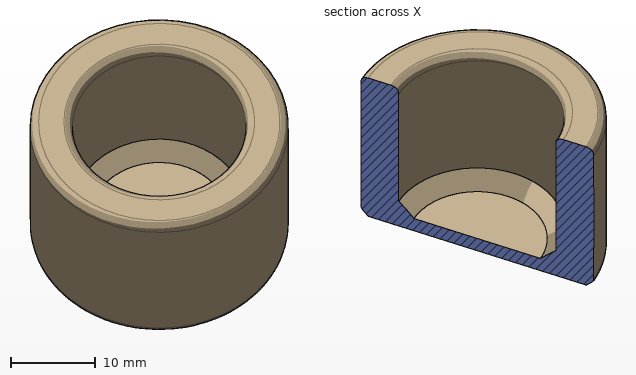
import cadquery as cq

outer_diameter = 30.5
height = 22.0
edge_radius = 1.0
base_chamfer = 1.0

bore_diameter = 20.5
floor_diameter = 16.53
floor_thickness = 2.0

outer_radius = outer_diameter / 2
bore_radius = bore_diameter / 2
floor_radius = floor_diameter / 2
cone_height = bore_radius - floor_radius

half_section = (
    cq.Workplane("XZ")
    .lineTo(outer_radius - base_chamfer, 0)
    .lineTo(outer_radius, base_chamfer)
    .lineTo(outer_radius, height)
    .lineTo(bore_radius, height)
    .lineTo(bore_radius, floor_thickness + cone_height)
    .lineTo(floor_radius, floor_thickness)
    .lineTo(0, floor_thickness)
    .close()
)
cup = half_section.revolve(360, (0, 0, 0), (0, 1, 0))

cup = cup.faces(">Z").edges().fillet(edge_radius)

chamfer_top_edge = cq.selectors.BoxSelector(
    (-outer_diameter, -outer_diameter, base_chamfer / 2),
    (outer_diameter, outer_diameter, base_chamfer * 1.5),
    boundingbox=True,
)
result = cup.edges("%CIRCLE").edges(chamfer_top_edge).fillet(edge_radius)